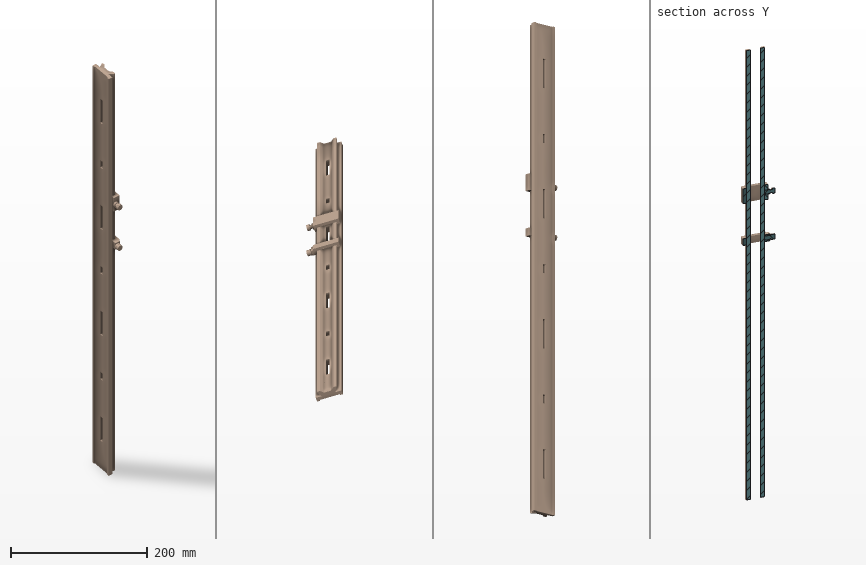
import cadquery as cq

rail_length = 750.0
rail_width = 40.0
flange_depth = 7.0
rail_depth = 16.0
neck_width = 21.0
horn_width = 30.0
horn_lip = 2.0
trough_mouth_width = 21.0
trough_floor_width = 10.5
trough_floor_y = 11.0
recess_width = 31.5
recess_depth = 1.5

slot_pitch = rail_length * 4 / 15
slot_width = 5.0
long_slot_length = 45.0
short_slot_length = 13.5

clamp_back = 20.0
hook_front = 12.0
ledge_width = 10.0
ledge_thickness = 2.0
jaw_front = 10.0
upper_z = 133.0
upper_length = 25.5
upper_jaw_face = rail_width / 2
lower_z = 56.0
lower_length = 12.0
lower_jaw_face = 23.0

screw_y = 13.0
overall_width = 51.0
screw_end = overall_width - rail_width / 2
shank_diameter = 6.0
head_diameter = 9.0
collar_diameter = 10.0
collar_length = 2.0
upper_head_length = 4.5
lower_head_length = 7.0

washer_diameter = 9.0
washer_thickness = 3.0

half_rail = rail_width / 2
half_horn = horn_width / 2
horn_tip_y = rail_depth - horn_lip
horn_slope = (half_horn - neck_width / 2) / (horn_tip_y - flange_depth)
ledge_x = half_rail - ledge_width
ledge_y = clamp_back - ledge_thickness


def horn_flank_x(y):
    """Half width of the rail on the slanted horn flank at depth y."""
    return half_horn - horn_slope * (horn_tip_y - y)


def prism(outline, z, length):
    """Outline in the XY plane, extruded along Z and centred on height z."""
    return cq.Workplane("XY", origin=(0, 0, z - length / 2)).polyline(outline).close().extrude(length)


def rod(z, diameter, x_start, x_end):
    """Cylinder along X on the screw axis at height z."""
    return cq.Workplane("YZ", origin=(x_start, screw_y, z)).circle(diameter / 2).extrude(x_end - x_start)


def slots(heights, length):
    """Rectangular cutters through the full depth of the rail."""
    places = [(0, z) for z in heights]
    return cq.Workplane("XZ").pushPoints(places).rect(slot_width, length).extrude(-rail_depth)


def make_rail():
    right_half = [
        (recess_width / 2, recess_depth),
        (recess_width / 2, 0),
        (half_rail, 0),
        (half_rail, flange_depth),
        (neck_width / 2, flange_depth),
        (half_horn, horn_tip_y),
        (half_horn, rail_depth),
        (trough_mouth_width / 2, rail_depth),
        (trough_floor_width / 2, trough_floor_y),
    ]
    left_half = [(-x, y) for x, y in reversed(right_half)]
    profile = prism(right_half + left_half, 0, rail_length)
    long_slots = slots([k * slot_pitch for k in (-1.5, -0.5, 0.5, 1.5)], long_slot_length)
    short_slots = slots([k * slot_pitch for k in (-1, 0, 1)], short_slot_length)
    return profile.cut(long_slots).cut(short_slots)


def make_hook_plate(z, length):
    """Plate on the rail's back that hooks round the -X horn and covers the jaw with a thin ledge."""
    outline = [
        (-half_rail, clamp_back),
        (half_rail, clamp_back),
        (half_rail, ledge_y),
        (ledge_x, ledge_y),
        (ledge_x, rail_depth),
        (-half_horn, rail_depth),
        (-half_horn, horn_tip_y),
        (-horn_flank_x(hook_front), hook_front),
        (-half_rail, hook_front),
    ]
    return prism(outline, z, length)


def make_jaw(z, length, face_x):
    """Block under the ledge that grips the +X horn, bored for the screw."""
    outline = [
        (ledge_x, ledge_y),
        (face_x, ledge_y),
        (face_x, jaw_front),
        (horn_flank_x(jaw_front), jaw_front),
        (half_horn, horn_tip_y),
        (half_horn, rail_depth),
        (ledge_x, rail_depth),
    ]
    return prism(outline, z, length).cut(rod(z, shank_diameter, half_horn, face_x))


def make_screw(z, head_length):
    """Screw with a collared round head; its tip ends level with the horn."""
    head_start = screw_end - head_length
    shank = rod(z, shank_diameter, half_horn, head_start)
    collar = rod(z, collar_diameter, head_start, head_start + collar_length)
    head = rod(z, head_diameter, head_start, screw_end)
    return shank.union(collar).union(head)


def make_washer(z, face_x):
    """Ring on the screw, lying against the jaw face."""
    outer_x = face_x + washer_thickness
    return rod(z, washer_diameter, face_x, outer_x).cut(rod(z, shank_diameter, face_x, outer_x))


clamps = [
    (upper_z, upper_length, upper_jaw_face, upper_head_length),
    (lower_z, lower_length, lower_jaw_face, lower_head_length),
]
bodies = [make_rail().val(), make_washer(upper_z, upper_jaw_face).val()]
for z, length, jaw_face, head_length in clamps:
    bodies.append(make_hook_plate(z, length).val())
    bodies.append(make_jaw(z, length, jaw_face).val())
    bodies.append(make_screw(z, head_length).val())

result = cq.Compound.makeCompound(bodies)